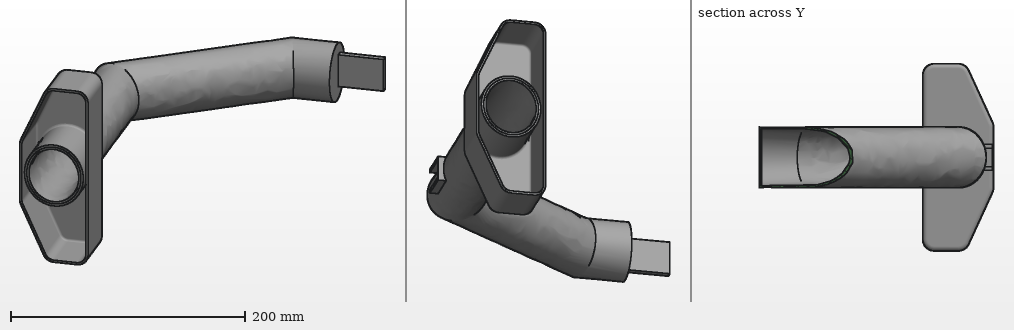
import cadquery as cq

overall_width = 240.0
overall_length = 314.2
wall = 2.0
tube_width = 48.0
tube_height = 52.0
tube_half_x = tube_width / 2
tube_half_z = tube_height / 2

guard_width = 60.5
guard_height = 160.0
guard_depth = 47.8
side_height = 56.0
slope_width = 24.0
corner_radius = 10.0
inner_round = wall
outer_round = inner_round + wall
floor_y = guard_depth - wall

first_bend = (0, 195.5)
second_bend = (130.0, overall_length - tube_half_x)
tube_end = (169.7, second_bend[1])

blade_length = overall_width - guard_width / 2 - tube_end[0]
blade_thickness = 6.0
blade_height = 29.2
blade_offset = 7.0

holder_length = 29.5
holder_height = 22.0
holder_start = 147.0
holder_face_x = -29.0
holder_side_wall = 3.0
holder_end_wall = 2.0


def prism(outline, y_start, y_end):
    """Extrude an outline that lies in the XZ plane from y_start to y_end."""
    return outline.extrude(y_start - y_end).translate((0, y_start, 0))


def ellipse_prism(offset, y_start, y_end):
    """Elliptical cylinder on the tube axis, larger than the tube by the offset."""
    outline = cq.Workplane("XZ").ellipse(tube_half_x + offset, tube_half_z + offset)
    return prism(outline, y_start, y_end)


def guard_block(inset, y_start, y_end):
    """Solid block with the guard's outline, drawn in by the inset."""
    right = guard_width / 2
    left = -right
    top = guard_height / 2
    side = side_height / 2
    corners = [
        (left, -side),
        (left + slope_width, -top),
        (right, -top),
        (right, top),
        (left + slope_width, top),
        (left, side),
    ]
    block = prism(cq.Workplane("XZ").polyline(corners).close(), 0, guard_depth)
    block = block.edges("|Y").fillet(corner_radius)
    outline = block.faces("<Y").wires().val()
    if inset > 0:
        outline = outline.offset2D(-inset)[0]
    face = cq.Face.makeFromWires(outline)
    solid = cq.Solid.extrudeLinear(face, cq.Vector(0, y_end - y_start, 0))
    return cq.Workplane("XY").add(solid).translate((0, y_start, 0))


def make_guard():
    outside = guard_block(0, 0, guard_depth).faces(">Y").edges().fillet(outer_round)
    cavity = guard_block(wall, 0, floor_y).faces(">Y").edges().fillet(inner_round)

    sleeve = guard_block(0, floor_y, guard_depth).union(ellipse_prism(wall, 0, guard_depth))
    floor_face = sleeve.faces("<Y[1]").val()
    root_edges = floor_face.innerWires()[0].Edges()
    sleeve = sleeve.newObject(root_edges).fillet(inner_round)

    guard = outside.cut(cavity.cut(sleeve))
    return guard.cut(ellipse_prism(0, 0, guard_depth)).solids()


def bent_bar(inset, end_gap):
    """Bar along the tube axis, smaller than the tube by the inset and shorter by the gap."""
    end = (tube_end[0] - end_gap, tube_end[1])
    path = cq.Workplane("XY").polyline([(0, 0), first_bend, second_bend, end])
    section = cq.Workplane("XZ").ellipse(tube_half_x - inset, tube_half_z - inset)
    return section.sweep(path, transition="right")


def make_blade():
    blade = cq.Workplane("XY").box(
        blade_length, blade_thickness, blade_height, centered=(False, True, True)
    )
    return blade.translate((tube_end[0], tube_end[1] + blade_offset, 0))


def make_holder():
    """U-shaped wall, open toward +Y, reaching from its outer face to the tube axis."""
    depth = -holder_face_x
    block = cq.Workplane("XY").box(depth, holder_length, holder_height, centered=(False, False, True))
    opening = cq.Workplane("XY").box(
        depth, holder_length, holder_height - 2 * holder_side_wall, centered=(False, False, True)
    ).translate((0, holder_end_wall, 0))
    return block.cut(opening).translate((holder_face_x, holder_start, 0))


def make_handle():
    bar = bent_bar(0, 0).union(make_holder()).union(make_blade())
    return bar.cut(bent_bar(wall, wall)).solids()


guard = make_guard()
handle = make_handle()

result = cq.Compound.makeCompound([guard.val(), handle.val()])